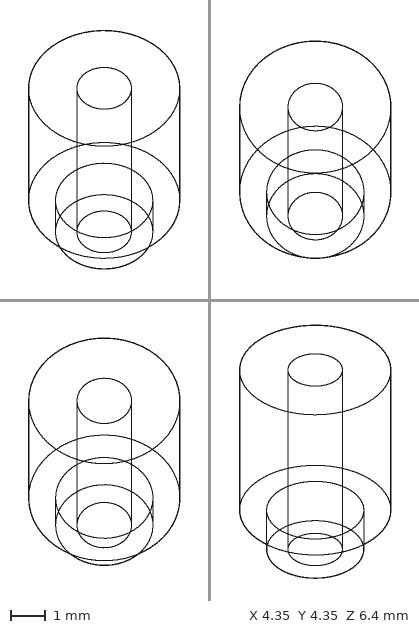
import cadquery as cq

total_height = 6.4
body_height = 5.0
spigot_height = total_height - body_height

body_diameter = 4.35
spigot_diameter = 2.8
bore_diameter = 1.57

spigot = cq.Workplane("XY").circle(spigot_diameter / 2).extrude(spigot_height)

stepped_sleeve = spigot.faces(">Z").workplane().circle(body_diameter / 2).extrude(body_height)

result = stepped_sleeve.faces(">Z").workplane().hole(bore_diameter)